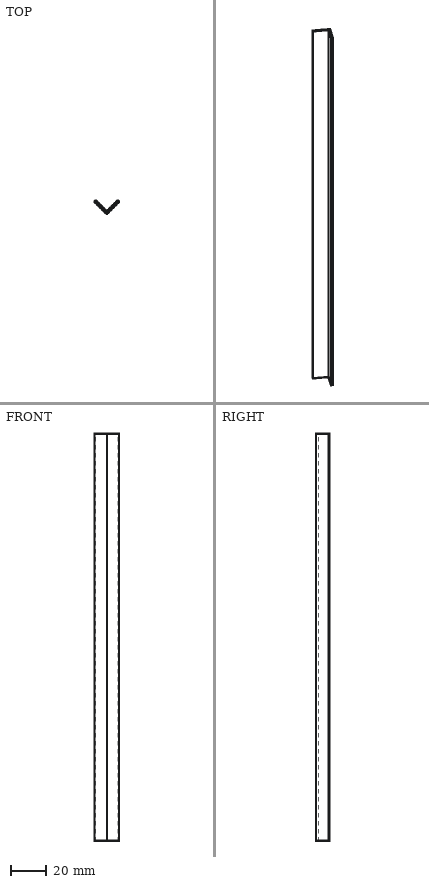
import cadquery as cq
import math

length = 230.0
overall_width = 14.0
thickness = 1.04

leg = overall_width / math.sqrt(2)
overall_depth = (leg + thickness) / math.sqrt(2)

section = [
    (0, 0),
    (leg, 0),
    (leg, thickness),
    (thickness, thickness),
    (thickness, leg),
    (0, leg),
]

result = (
    cq.Workplane("XY")
    .polyline(section)
    .close()
    .extrude(length)
    .rotate((0, 0, 0), (0, 0, 1), 45)
    .translate((0, -overall_depth / 2, -length / 2))
)